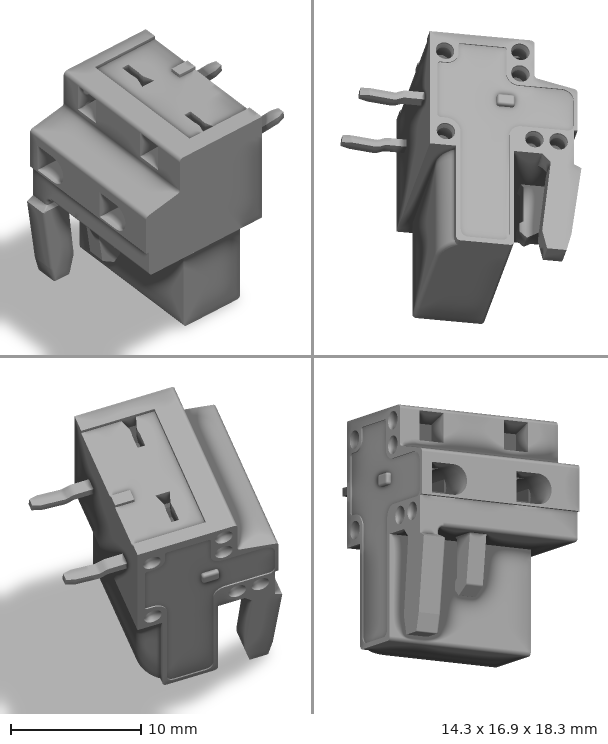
import cadquery as cq
import math


width = 14.0
height = 18.25
pole_pitch = 7.5
pole_count = 2
edge_round = 0.32

upper_front_y = -8.2
wire_front_y = -11.56
lower_front_y = -11.26
wire_top_z = 14.24
ramp_foot_z = 14.97
ramp_foot_round = 0.25
wire_bottom_z = 10.64
housing_bottom_z = 8.33

plug_width = 12.53
plug_rear_y = -0.96
plug_front_y = -6.6
plug_cheek_rear_y = -2.06
plug_cheek_thickness = 1.1

clip_neck_width = 1.68
clip_hook_width = 1.96
clip_root_round = 0.42
clip_edge_round = 0.17
clip_tip_front_y = -10.7
hook_top_z = 7.66
hook_tip_y = -11.86
hook_tip_z = 7.36

rib_x = 5.02
rib_width = 1.46

panel_depth = 0.1
pin_hole_radius = 0.6
pin_hole_mouth_radius = 0.72
pin_hole_mouth_depth = 0.17
pin_hole_taper_depth = 0.38
pin_hole_centers = [
    (-1.19, 16.64),
    (-7.08, 17.15),
    (-7.08, 15.23),
    (-1.26, 9.54),
    (-8.18, 9.54),
    (-10.07, 9.54),
]
nub_height = 0.3
nub_length = 1.4
nub_width = 0.94
nub_center = (-5.93, 12.69)
nub_round = 0.2
nub_face_round = 0.18

recess_x_min = 1.1
recess_x_max = 12.52
recess_length = 6.0
recess_depth = 0.3
tab_x = 5.01
tab_width = 0.97
tab_length = 1.58

test_slot_start_x = 2.22
test_slot_center_y = -3.9
test_slot_width = 0.62
test_slot_waist_width = 0.54
test_slot_flare_width = 1.2
test_slot_waist_start = 1.45
test_slot_waist_end = 1.8
test_slot_ramp_end = 2.4
test_slot_length = 2.78
test_slot_depth = 1.5
test_slot_ridge = 0.35

release_x = 1.73
release_width = 2.14
release_bottom_z = 15.57
release_top_z = 17.91
release_inner_top_z = 17.3
release_inner_bottom_z = 15.66
release_depth = 1.9

wire_center_x = 2.81
wire_center_z = 12.03
wire_radius = 1.2
wire_square_x = 0.9
wire_mouth_depth = 2.2
wire_lead_in_depth = 1.0
wire_inner_width = 2.02
wire_inner_bottom_z = 11.65
wire_inner_depth = 2.0

pin_x = 2.3
pin_width = 1.0
pin_tip_width = 0.6
pin_taper_start_y = 4.3
pin_tip_y = 5.01
pin_root_y = -1.0
pin_top_z = 14.12
pin_thickness = 0.63
pin_crank_drop = 0.26


def rounded_face(plane, corners):
    """Close an outline through corners (u, v, radius), rounding each corner by its radius."""
    path = None
    count = len(corners)
    for index, (u, v, radius) in enumerate(corners):
        corner = cq.Vector(u, v, 0)
        before = (cq.Vector(*corners[index - 1][:2], 0) - corner).normalized()
        after = (cq.Vector(*corners[(index + 1) % count][:2], 0) - corner).normalized()
        half_angle = before.getAngle(after) / 2
        setback = radius / math.tan(half_angle)
        start = corner + before * setback
        end = corner + after * setback
        if path is None:
            path = cq.Workplane(plane).moveTo(start.x, start.y)
        else:
            path = path.lineTo(start.x, start.y)
        if radius > 0:
            bisector = (before + after).normalized()
            middle = corner + bisector * (radius / math.sin(half_angle) - radius)
            path = path.threePointArc((middle.x, middle.y), (end.x, end.y))
    return path.close()


def box(x_min, x_max, y_min, y_max, z_min, z_max):
    size = (x_max - x_min, y_max - y_min, z_max - z_min)
    return cq.Workplane("XY").box(*size, centered=False).translate((x_min, y_min, z_min))


def make_housing():
    profile = [
        (0, housing_bottom_z, 0),
        (0, height, 0),
        (upper_front_y, height, edge_round),
        (upper_front_y, ramp_foot_z, ramp_foot_round),
        (wire_front_y, wire_top_z, edge_round),
        (wire_front_y, wire_bottom_z, 0),
        (lower_front_y, wire_bottom_z, 0),
        (lower_front_y, housing_bottom_z, edge_round),
    ]
    return rounded_face("YZ", profile).extrude(width)


def make_plug():
    """Plug block with a left rear edge rounded over half its depth and a flat cheek on its left side."""
    block = box(0, plug_width, plug_front_y, plug_rear_y, 0, housing_bottom_z)
    half_depth = (plug_rear_y - plug_front_y) / 2
    block = block.edges("|Z and <X and >Y").fillet(half_depth)
    block = block.faces("<Z").edges("<Y or >Y").fillet(edge_round)
    cheek = rounded_face("YZ", [
        (plug_cheek_rear_y, housing_bottom_z, 0),
        (plug_cheek_rear_y, 0, edge_round),
        (plug_front_y, 0, edge_round),
        (plug_front_y, housing_bottom_z, 0),
    ]).extrude(plug_cheek_thickness)
    return block.union(cheek)


def make_clip():
    """Hooked locking arm: its side profile limited by its front outline."""
    tip_round = 0.1
    rear_top_y = -8.8
    rear_neck_y = -9.46
    front_knee_y = -11.08
    front_knee_z = 1.45
    rear_knee_y = -8.79
    rear_knee_z = 1.55
    tip_rear_y = -9.17
    side = rounded_face("YZ", [
        (rear_top_y, housing_bottom_z, 0),
        (lower_front_y, housing_bottom_z + edge_round, 0),
        (lower_front_y, hook_top_z, 0),
        (hook_tip_y, hook_tip_z, 0),
        (front_knee_y, front_knee_z, 0),
        (clip_tip_front_y, 0, tip_round),
        (tip_rear_y, 0, tip_round),
        (rear_knee_y, rear_knee_z, 0),
        (rear_neck_y, hook_top_z, 0),
    ]).extrude(clip_hook_width + clip_root_round)
    root_x = clip_neck_width + clip_root_round
    widening = clip_hook_width - clip_neck_width
    arc_offset = clip_root_round * (1 - math.sqrt(0.5))
    front = (
        cq.Workplane("XZ")
        .moveTo(0, 0)
        .lineTo(0, housing_bottom_z + edge_round)
        .lineTo(root_x, housing_bottom_z + edge_round)
        .lineTo(root_x, housing_bottom_z)
        .threePointArc(
            (clip_neck_width + arc_offset, housing_bottom_z - arc_offset),
            (clip_neck_width, housing_bottom_z - clip_root_round),
        )
        .lineTo(clip_neck_width, hook_top_z)
        .lineTo(clip_hook_width, hook_top_z - widening)
        .lineTo(clip_hook_width, 0)
        .close()
        .extrude(-hook_tip_y)
    )
    clip = side.intersect(front)
    front_right_edges = cq.selectors.BoxSelector(
        (clip_neck_width - tip_round, hook_tip_y - tip_round, 0),
        (clip_hook_width + tip_round, clip_tip_front_y, housing_bottom_z),
    )
    return clip.edges(front_right_edges).edges("not |X").fillet(clip_edge_round)


def make_rib():
    """Snap rib with a catch on its rear side and a leaning front side."""
    rear_y = -8.26
    root_bevel = 0.23
    catch_y = -7.95
    catch_shoulder_z = 5.09
    catch_top_z = 4.88
    catch_bottom_z = 4.18
    tip_y = -8.53
    tip_z = 3.67
    tip_round = 0.05
    heel_y = -9.7
    heel_z = 4.36
    heel_round = 0.2
    front_top_y = -10.25
    profile = [
        (rear_y + root_bevel, housing_bottom_z, 0),
        (rear_y, housing_bottom_z - root_bevel, 0),
        (rear_y, catch_shoulder_z, 0),
        (catch_y, catch_top_z, 0),
        (catch_y, catch_bottom_z, 0),
        (tip_y, tip_z, tip_round),
        (heel_y, heel_z, heel_round),
        (front_top_y, housing_bottom_z, 0),
    ]
    return rounded_face("YZ", profile).extrude(rib_width).translate((rib_x, 0, 0))


def make_panel():
    """Shallow recess over the left side."""
    top_round = 0.15
    rear_round = 0.25
    front_round = 0.5
    foot_round = 0.6
    inner_round = 0.95
    rear_hole_round = 1.2
    top_z = 17.42
    foot_z = 0.39
    rear_y = -0.6
    rear_top_z = 15.64
    rear_bottom_z = 10.75
    front_top_z = 14.19
    front_bottom_z = 10.58
    head_rear_y = -2.26
    head_front_y = -6.0
    foot_rear_y = -2.42
    foot_front_y = -6.22
    profile = [
        (head_rear_y, top_z, top_round),
        (head_rear_y, rear_top_z, inner_round),
        (rear_y, rear_top_z, rear_round),
        (rear_y, rear_bottom_z, rear_round),
        (foot_rear_y, rear_bottom_z, rear_hole_round),
        (foot_rear_y, foot_z, foot_round),
        (foot_front_y, foot_z, foot_round),
        (foot_front_y, front_bottom_z, inner_round),
        (lower_front_y, front_bottom_z, front_round),
        (lower_front_y, front_top_z, inner_round),
        (head_front_y, front_top_z, inner_round),
        (head_front_y, top_z, top_round),
    ]
    return rounded_face("YZ", profile).extrude(panel_depth)


def make_pin_holes():
    """Round holes with a wider mouth and a taper, as deep as the wall beside the release openings."""
    holes = cq.Workplane("YZ").pushPoints(pin_hole_centers).circle(pin_hole_radius).extrude(release_x)
    mouths = (
        cq.Workplane("YZ")
        .pushPoints(pin_hole_centers)
        .circle(pin_hole_mouth_radius)
        .extrude(pin_hole_mouth_depth)
    )
    holes = holes.union(mouths)
    for y, z in pin_hole_centers:
        taper = cq.Solid.makeCone(
            pin_hole_mouth_radius, pin_hole_radius, pin_hole_taper_depth,
            cq.Vector(pin_hole_mouth_depth, y, z), cq.Vector(1, 0, 0),
        )
        holes = holes.union(cq.Workplane(taper))
    return holes


def make_nub():
    root_depth = 2 * panel_depth
    nub = cq.Workplane("YZ").center(*nub_center).rect(nub_length, nub_width).extrude(-nub_height)
    nub = nub.edges("|X").fillet(nub_round).faces("<X").edges().fillet(nub_face_round)
    root = cq.Workplane("YZ").center(*nub_center).rect(nub_length, nub_width).extrude(root_depth)
    return nub.union(root.edges("|X").fillet(nub_round))


def make_top_recess():
    floor_z = height - recess_depth
    recess = box(recess_x_min, recess_x_max, -recess_length, 0, floor_z, height)
    tab = box(tab_x, tab_x + tab_width, -tab_length, 0, floor_z, height)
    return recess.cut(tab)


def make_test_slot(start_x, length, end_rise):
    """Keyhole-shaped slot whose floor rises to a ridge at the waist."""
    waist_end_x = start_x + test_slot_waist_end
    end_x = start_x + length
    top_z = height - recess_depth
    floor_z = top_z - test_slot_depth
    straight = test_slot_width / 2
    waist = test_slot_waist_width / 2
    flare = test_slot_flare_width / 2
    half_plan = [
        (start_x, straight),
        (start_x + test_slot_waist_start - waist, straight),
        (start_x + test_slot_waist_start, waist),
        (waist_end_x, waist),
        (end_x, flare),
    ]
    mirrored = [(x, -y) for x, y in reversed(half_plan)]
    plan = cq.Workplane("XY").polyline(half_plan + mirrored).close().extrude(test_slot_depth)
    plan = plan.translate((0, test_slot_center_y, floor_z))
    side = cq.Workplane("XZ").polyline([
        (start_x, top_z),
        (start_x, floor_z),
        (start_x + test_slot_waist_start, floor_z),
        (waist_end_x, floor_z + test_slot_ridge),
        (start_x + test_slot_ramp_end, floor_z),
        (end_x, floor_z + end_rise),
        (end_x, top_z),
    ]).close().extrude(recess_length)
    return plan.intersect(side)


def make_release_opening(offset):
    inner_y = upper_front_y + release_depth
    profile = [
        (upper_front_y, release_bottom_z, 0),
        (upper_front_y, release_top_z, 0),
        (inner_y, release_inner_top_z, 0),
        (inner_y, release_inner_bottom_z, 0),
    ]
    opening = rounded_face("YZ", profile).extrude(release_width)
    return opening.translate((release_x + offset, 0, 0))


def make_wire_entry(offset):
    """D-shaped mouth, then a round lead-in with a ramp up to a narrower passage."""
    mouth_end_y = wire_front_y + wire_mouth_depth
    lead_end_y = mouth_end_y + wire_lead_in_depth
    inner_end_y = lead_end_y + wire_inner_depth
    bottom_z = wire_center_z - wire_radius
    top_z = wire_center_z + wire_radius

    def bore(start_y, length):
        circle = cq.Workplane("XZ", origin=(wire_center_x, start_y, wire_center_z)).circle(wire_radius)
        return circle.extrude(-length)

    square = box(wire_square_x, wire_center_x, wire_front_y, mouth_end_y, bottom_z, top_z)
    mouth = bore(wire_front_y, wire_mouth_depth).union(square)
    ramp = cq.Workplane("YZ").polyline([
        (mouth_end_y, bottom_z),
        (lead_end_y, bottom_z),
        (lead_end_y, wire_inner_bottom_z),
    ]).close().extrude(width)
    lead_in = bore(mouth_end_y, wire_lead_in_depth).cut(ramp)
    half_inner = wire_inner_width / 2
    passage = bore(lead_end_y, wire_inner_depth).intersect(
        box(
            wire_center_x - half_inner, wire_center_x + half_inner,
            lead_end_y, inner_end_y, wire_inner_bottom_z, top_z,
        )
    )
    return mouth.union(lead_in).union(passage).translate((offset, 0, 0))


def make_solder_pin(offset):
    """Cranked flat pin with a tapered tip."""
    pin_bottom_z = pin_top_z - pin_thickness
    crank_start_y = 1.6
    crank_end_y = 2.25
    outer_bend = 1.0
    inner_bend = 0.5
    tip_top_y = 4.95
    tip_bottom_y = 5.03
    side = rounded_face("YZ", [
        (pin_root_y, pin_bottom_z, 0),
        (pin_root_y, pin_top_z, 0),
        (crank_start_y, pin_top_z, outer_bend),
        (crank_end_y, pin_top_z - pin_crank_drop, inner_bend),
        (tip_top_y, pin_top_z, 0),
        (tip_bottom_y, pin_bottom_z, 0),
        (crank_end_y, pin_bottom_z - pin_crank_drop, outer_bend),
        (crank_start_y, pin_bottom_z, inner_bend),
    ]).extrude(pin_width)
    shoulder = (pin_width - pin_tip_width) / 2
    plan = cq.Workplane("XY").polyline([
        (0, pin_root_y),
        (pin_width, pin_root_y),
        (pin_width, pin_taper_start_y),
        (pin_width - shoulder, pin_tip_y),
        (shoulder, pin_tip_y),
        (0, pin_taper_start_y),
    ]).close().extrude(height)
    return side.intersect(plan).translate((pin_x + offset, 0, 0))


result = make_housing().union(make_plug()).union(make_clip()).union(make_rib())
result = result.cut(make_panel()).cut(make_pin_holes()).cut(make_top_recess())
result = result.union(make_nub())
for pole in range(pole_count):
    pole_offset = pole * pole_pitch
    result = result.cut(make_release_opening(pole_offset)).cut(make_wire_entry(pole_offset))
    result = result.union(make_solder_pin(pole_offset))
last_slot_x = test_slot_start_x + pole_pitch
result = result.cut(make_test_slot(test_slot_start_x, test_slot_length, 0))
result = result.cut(make_test_slot(last_slot_x, recess_x_max - last_slot_x, test_slot_ridge))